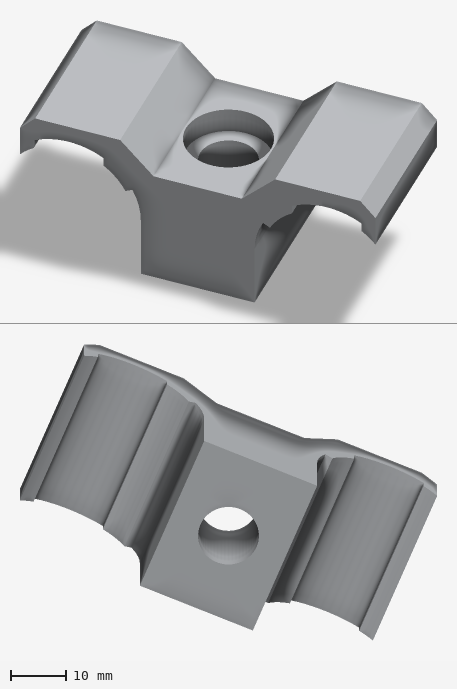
import cadquery as cq
import math

length = 69.1
depth = 30.0
height = 30.0

end_chamfer_width = 3.0
end_chamfer_height = 3.1
valley_top_width = 30.1
valley_floor_width = 17.1
valley_depth = 6.5

stem_width = 22.1

stem_side_angle = 180.0

lip_radius = 12.5
relief_radius = 14.0
arm_thickness = 3.45
relief_width = 13.55
side_relief_angle = 28.0
channel_offset = stem_width / 2 + relief_radius
channel_center_z = height - arm_thickness - relief_radius

bolt_diameter = 11.0
counterbore_diameter = 16.45
counterbore_depth = 5.0


def channel_point(radius, angle):
    """Profile point on the right-hand channel."""
    turn = math.radians(angle)
    return (
        channel_offset + radius * math.cos(turn),
        channel_center_z + radius * math.sin(turn),
    )


def angle_at(radius, x_offset):
    """Angle of the upper circle point at a signed distance from the axis."""
    return math.degrees(math.acos(x_offset / radius))


def add_arc(sketch, radius, start_angle, end_angle):
    """Continue the outline along a channel circle to the end angle."""
    middle = channel_point(radius, (start_angle + end_angle) / 2)
    return sketch.threePointArc(middle, channel_point(radius, end_angle))


def half_body():
    """Right half of the constant section, extruded through the depth."""
    half_length = length / 2
    half_stem = stem_width / 2
    half_relief = relief_width / 2

    step_angle = stem_side_angle - side_relief_angle
    inner_lip_angle = angle_at(lip_radius, -half_relief)
    outer_lip_angle = angle_at(lip_radius, half_relief)
    inner_relief_angle = angle_at(relief_radius, -half_relief)
    outer_relief_angle = angle_at(relief_radius, half_relief)
    end_angle = angle_at(lip_radius, half_length - channel_offset)

    sketch = (
        cq.Workplane("XZ")
        .moveTo(0, 0)
        .lineTo(half_stem, 0)
        .lineTo(half_stem, channel_center_z)
    )
    sketch = add_arc(sketch, relief_radius, stem_side_angle, step_angle)
    sketch = sketch.lineTo(*channel_point(lip_radius, step_angle))
    sketch = add_arc(sketch, lip_radius, step_angle, inner_lip_angle)
    sketch = sketch.lineTo(*channel_point(relief_radius, inner_relief_angle))
    sketch = add_arc(sketch, relief_radius, inner_relief_angle, outer_relief_angle)
    sketch = sketch.lineTo(*channel_point(lip_radius, outer_lip_angle))
    sketch = add_arc(sketch, lip_radius, outer_lip_angle, end_angle)
    return (
        sketch.lineTo(half_length, height - end_chamfer_height)
        .lineTo(half_length - end_chamfer_width, height)
        .lineTo(valley_top_width / 2, height)
        .lineTo(valley_floor_width / 2, height - valley_depth)
        .lineTo(0, height - valley_depth)
        .close()
        .extrude(depth / 2, both=True)
    )


right_half = half_body()
body = right_half.union(right_half.mirror("YZ"))

result = (
    body.copyWorkplane(cq.Workplane("XY", origin=(0, 0, height - valley_depth)))
    .cboreHole(bolt_diameter, counterbore_diameter, counterbore_depth)
)